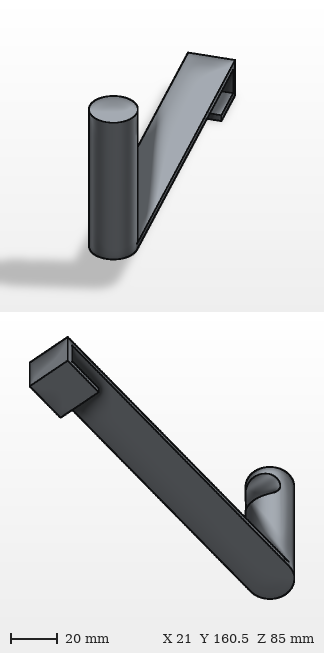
import cadquery as cq

total_length = 160.5
total_height = 85.0
width = 21.0
thickness = 3.0
post_height = 70.0
hook_length = 21.0
notch_radius = 9.5
notch_depth = 6.0
notch_below_top = 13.0

post_radius = width / 2
strip_end_y = total_length - post_radius
hook_bottom_z = post_height - total_height
lip_end_y = strip_end_y - hook_length


def make_post():
    return cq.Workplane("XY").circle(post_radius).extrude(post_height)


def make_hooked_strip():
    """Flat strip from the post axis, bent down and back into a square hook."""
    inner_y = strip_end_y - thickness
    lip_top_z = hook_bottom_z + thickness
    profile = [
        (0, 0),
        (0, thickness),
        (strip_end_y, thickness),
        (strip_end_y, hook_bottom_z),
        (lip_end_y, hook_bottom_z),
        (lip_end_y, lip_top_z),
        (inner_y, lip_top_z),
        (inner_y, 0),
    ]
    return cq.Workplane("YZ").polyline(profile).close().extrude(post_radius, both=True)


def make_notch():
    """Cylinder along X that cuts a rod seat into the strip side of the post."""
    axis_y = post_radius - notch_depth + notch_radius
    axis_z = post_height - notch_below_top
    return (
        cq.Workplane("YZ")
        .center(axis_y, axis_z)
        .circle(notch_radius)
        .extrude(width, both=True)
    )


result = make_post().cut(make_notch()).union(make_hooked_strip())